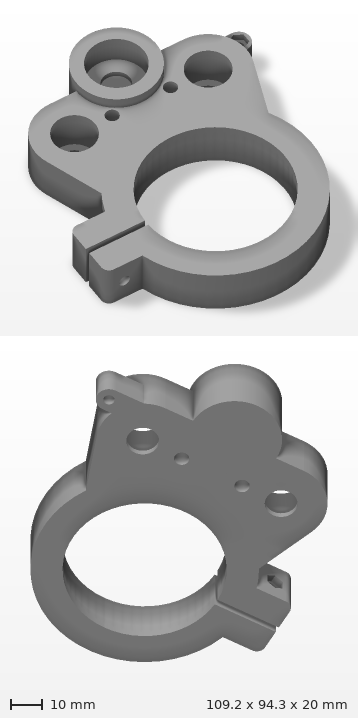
import cadquery as cq
import math

OVERALL_LENGTH = 109.2
OVERALL_WIDTH = 94.3
BODY_HEIGHT = 16.0

BOSS_DIAMETER = 30.0
BOSS_HEIGHT = 20.0
BOSS_BORE_DIAMETER = 20.4
BOSS_FLOOR = 10.2
BOSS_RECESS_DIAMETER = 10.0
BOSS_RECESS_DEPTH = 2.0

RING_RADIUS = 36.0
RING_X = OVERALL_LENGTH - BOSS_DIAMETER / 2 - RING_RADIUS
RING_BORE_RADIUS = 25.9

LUG_WIDTH = 21.8
LUG_END_Y = -48.0
LUG_CORNER_RADIUS = 3.0
SLIT_WIDTH = 2.0
SCREW_Y = -41.1
SCREW_DIAMETER = 4.0
LUG_NUT_DEPTH = 2.5

LOBE_RADIUS = 14.6
LOBE_X = LOBE_RADIUS
LOBE_Y = 25.0
TAPER_ANGLE = math.radians(20)
LOBE_HOLE_DIAMETER = 10.4
LOBE_BORE_DIAMETER = 15.4
LOBE_FLOOR = 2.0
SMALL_HOLE_DIAMETER = 4.8
SMALL_HOLE_Y = 10.9

EAR_X = 5.8
EAR_RADIUS = 4.2
EAR_TOP_Y = OVERALL_WIDTH + LUG_END_Y
EAR_Y = EAR_TOP_Y - EAR_RADIUS
EAR_HEIGHT = 9.9
EAR_HOLE_DIAMETER = 3.6
EAR_NUT_DEPTH = 2.5

NUT_ACROSS_FLATS = 5.7
NUT_ACROSS_CORNERS = NUT_ACROSS_FLATS / math.cos(math.radians(30))


def cylinder(x, y, diameter, bottom, top):
    """Upright cylinder between two heights."""
    return (
        cq.Workplane("XY", origin=(x, y, bottom))
        .circle(diameter / 2)
        .extrude(top - bottom)
    )


def make_plate():
    """Plate around both lobes, with tangent sides running into the ring."""
    tangent_x = LOBE_X + LOBE_RADIUS * math.sin(TAPER_ANGLE)
    tangent_y = LOBE_Y + LOBE_RADIUS * math.cos(TAPER_ANGLE)
    arc_middle_angle = (math.radians(90) - TAPER_ANGLE + math.pi) / 2
    middle_x = LOBE_X + LOBE_RADIUS * math.cos(arc_middle_angle)
    middle_y = LOBE_Y + LOBE_RADIUS * math.sin(arc_middle_angle)
    ring_end_y = tangent_y - (RING_X - tangent_x) * math.tan(TAPER_ANGLE)
    return (
        cq.Workplane("XY")
        .moveTo(0, -LOBE_Y)
        .lineTo(0, LOBE_Y)
        .threePointArc((middle_x, middle_y), (tangent_x, tangent_y))
        .lineTo(RING_X, ring_end_y)
        .lineTo(RING_X, -ring_end_y)
        .lineTo(tangent_x, -tangent_y)
        .threePointArc((middle_x, -middle_y), (0, -LOBE_Y))
        .close()
        .extrude(BODY_HEIGHT)
    )


def make_lugs():
    """Block below the ring, rounded at its two free corners."""
    return (
        cq.Workplane("XY")
        .center(RING_X, LUG_END_Y / 2)
        .rect(LUG_WIDTH, -LUG_END_Y)
        .extrude(BODY_HEIGHT)
        .edges("|Z and <Y")
        .fillet(LUG_CORNER_RADIUS)
    )


def make_ear():
    """Low round-ended ear reaching back into the upper lobe."""
    shank_length = EAR_Y - LOBE_Y
    shank = (
        cq.Workplane("XY")
        .center(EAR_X, LOBE_Y + shank_length / 2)
        .rect(2 * EAR_RADIUS, shank_length)
        .extrude(EAR_HEIGHT)
    )
    return shank.union(cylinder(EAR_X, EAR_Y, 2 * EAR_RADIUS, 0, EAR_HEIGHT))


def cut_boss(body):
    body = body.cut(cylinder(0, 0, BOSS_BORE_DIAMETER, BOSS_FLOOR, BOSS_HEIGHT))
    recess_floor = BOSS_FLOOR - BOSS_RECESS_DEPTH
    return body.cut(cylinder(0, 0, BOSS_RECESS_DIAMETER, recess_floor, BOSS_FLOOR))


def cut_lobes(body):
    for side in (1, -1):
        body = body.cut(cylinder(LOBE_X, side * LOBE_Y, LOBE_HOLE_DIAMETER, 0, BODY_HEIGHT))
        body = body.cut(cylinder(LOBE_X, side * LOBE_Y, LOBE_BORE_DIAMETER, LOBE_FLOOR, BODY_HEIGHT))
        body = body.cut(cylinder(LOBE_X, side * SMALL_HOLE_Y, SMALL_HOLE_DIAMETER, 0, BODY_HEIGHT))
    return body


def cut_clamp(body):
    """Ring bore, slit, cross screw hole and the nut pocket on the -X lug face."""
    body = body.cut(cylinder(RING_X, 0, 2 * RING_BORE_RADIUS, 0, BODY_HEIGHT))
    slit = (
        cq.Workplane("XY")
        .center(RING_X, LUG_END_Y / 2)
        .rect(SLIT_WIDTH, -LUG_END_Y)
        .extrude(BODY_HEIGHT)
    )
    lug_face = cq.Workplane("YZ", origin=(RING_X - LUG_WIDTH / 2, SCREW_Y, BODY_HEIGHT / 2))
    screw = lug_face.circle(SCREW_DIAMETER / 2).extrude(LUG_WIDTH)
    nut = (
        lug_face.transformed(rotate=(0, 0, 90))
        .polygon(6, NUT_ACROSS_CORNERS)
        .extrude(LUG_NUT_DEPTH)
    )
    return body.cut(slit).cut(screw).cut(nut)


def cut_ear(body):
    nut = (
        cq.Workplane("XY", origin=(EAR_X, EAR_Y, EAR_HEIGHT - EAR_NUT_DEPTH))
        .polygon(6, NUT_ACROSS_CORNERS)
        .extrude(EAR_NUT_DEPTH)
    )
    return body.cut(cylinder(EAR_X, EAR_Y, EAR_HOLE_DIAMETER, 0, EAR_HEIGHT)).cut(nut)


body = (
    make_plate()
    .union(cylinder(RING_X, 0, 2 * RING_RADIUS, 0, BODY_HEIGHT))
    .union(cylinder(0, 0, BOSS_DIAMETER, 0, BOSS_HEIGHT))
    .union(make_lugs())
    .union(make_ear())
)
result = cut_ear(cut_clamp(cut_lobes(cut_boss(body))))